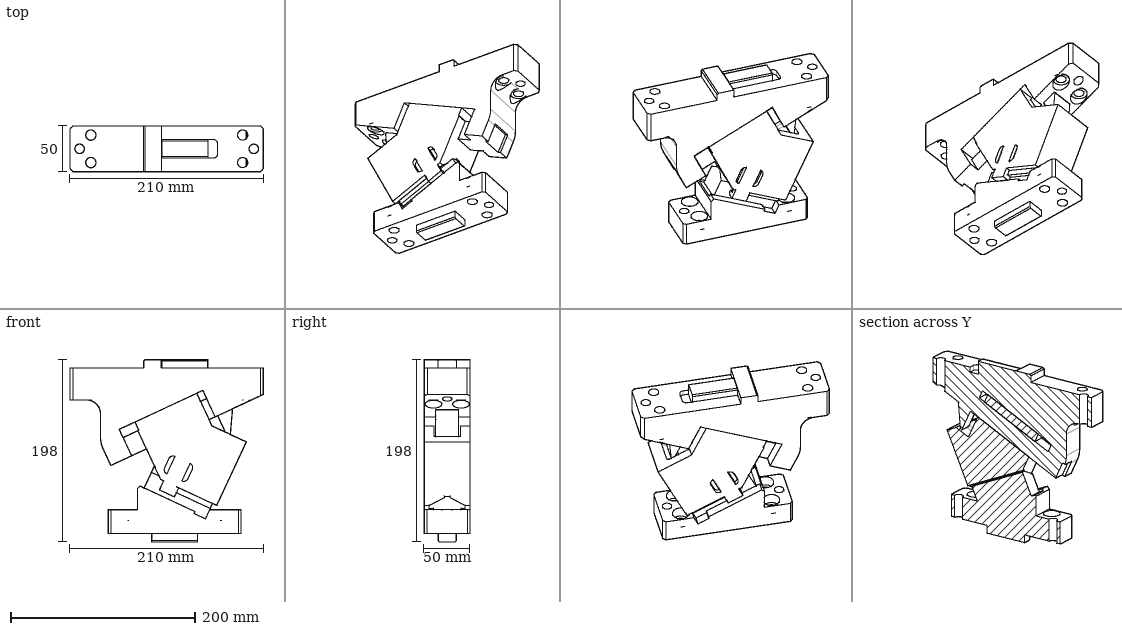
import cadquery as cq
import math


WIDTH = 50.0
HALF_WIDTH = WIDTH / 2
TILT = math.radians(25)
COS = math.cos(TILT)
SIN = math.sin(TILT)
TONGUE_WIDTH = 25.0
KEY_HEIGHT = 9.0
KEY_LENGTH = 50.0
KEY_WIDTH = 20.0
KEY_CHAMFER = 1.5
DOWEL_DIAMETER = 10.0
SCREW_DIAMETER = 11.0
SCREW_HEAD_DIAMETER = 18.0
SCREW_Y = 15.0

BASE_LEFT = -63.6
BASE_RIGHT = 80.6
BASE_CENTRE = (BASE_LEFT + BASE_RIGHT) / 2
BASE_HEIGHT = 26.0
BASE_CHAMFER = 3.0
BLOCK_LEFT = -32.0
BLOCK_CHAMFER = 3.0
BASE_DOWEL_OFFSET = 62.4
BASE_SCREW_OFFSET = 50.5
BASE_COUNTERBORE_DEPTH = 11.5

GUIDE_X = -24.5
GUIDE_Z = 49.8
RAIL_LENGTH = 74.5
RAIL_HALF_WIDTH = 15.0
RIDGE_HALF_WIDTH = 3.0
ROOF_ANGLE = math.radians(30)
RELIEF_START = 61.0
RELIEF_DEPTH = 2.3
LEDGE_START = 18.5
LEDGE_BOTTOM = 10.0
LEDGE_HALF_WIDTH = 19.5
SLIDE_UNDERSIDE = 16.0
RIDGE_HEIGHT = SLIDE_UNDERSIDE + (LEDGE_HALF_WIDTH - RIDGE_HALF_WIDTH) * math.tan(ROOF_ANGLE)
EAVE_HEIGHT = RIDGE_HEIGHT - (RAIL_HALF_WIDTH - RIDGE_HALF_WIDTH) * math.tan(ROOF_ANGLE)

HOLDER_LENGTH = 210.0
HOLDER_TOP = 180.0
FLANGE_THICKNESS = 34.9
FLANGE_BOTTOM = HOLDER_TOP - FLANGE_THICKNESS
HOLDER_CHAMFER = 3.4
NECK_LEFT = -72.0
NECK_FILLET = 15.0
JAW_BEND_RADIUS = 31.0
TAB_LEFT = -25.0
TAB_RIGHT = -5.7
TAB_CHAMFER = 1.5
KEY_LEFT = -5.2
SLOT_END = 55.2
SLOT_DEPTH = 5.9
SLOT_CORNER_RADIUS = 4.5
HOLDER_DOWEL_X = 94.5
HOLDER_SCREW_X = 82.3

JAW_X = -60.7
JAW_Z = 74.0
JAW_THICKNESS = 25.0
POCKET_LENGTH = 100.0
POCKET_DEPTH = 31.7
POCKET_END = JAW_THICKNESS + POCKET_LENGTH
BAR_HEIGHT = 22.0
NOTCH_DEPTH = 3.4
RIB_START = 127.9
RIB_END = 146.0
RIB_CHAMFER = 1.3
RIB_FLANK_ANGLE = math.radians(30)
RIB_DEPTH = 26.2

SLIDE_START = 43.7
SLIDE_END = 117.8
SLIDE_STEP = 1.0
SLIDE_NOSE = 79.5
SLIDE_SHOULDER = 92.2
STOP_POCKET_FLOOR = 28.4
STOP_POCKET_LENGTH = 42.0
STOP_POCKET_WIDTH = 29.0
STOP_POCKET_CORNER_RADIUS = 2.5
RIDGE_RELIEF_HALF_WIDTH = 3.2
RIDGE_RELIEF_DEPTH = 1.3
HOOK_START = 16.0
HOOK_LENGTH = 18.0
HOOK_BOTTOM = 5.0
HOOK_INNER = 20.2
HOOK_TIP = 15.3
HOOK_TIP_CHAMFER = 1.7
WINDOW_LENGTH = 28.0
WINDOW_HEIGHT = 21.0
WINDOW_CORNER_RADIUS = 5.0
WINDOW_CENTRE_V = 34.6


def holder_point(s, t):
    return (JAW_X + s * COS - t * SIN, JAW_Z + s * SIN + t * COS)


def guide_point(u, v):
    return (GUIDE_X + u * COS + v * SIN, GUIDE_Z - u * SIN + v * COS)


def crossing_point(s, v):
    """Point that lies at distance s in the holder frame and v in the guide frame."""
    along = s + JAW_X * COS + JAW_Z * SIN
    across = v + GUIDE_X * SIN + GUIDE_Z * COS
    determinant = COS ** 2 - SIN ** 2
    return ((along * COS - across * SIN) / determinant, (across * COS - along * SIN) / determinant)


def side_plane():
    return cq.Workplane("XZ")


def holder_plane():
    return cq.Workplane(cq.Plane((JAW_X, 0, JAW_Z), xDir=(COS, 0, SIN), normal=(0, -1, 0)))


def guide_plane():
    return cq.Workplane(cq.Plane((GUIDE_X, 0, GUIDE_Z), xDir=(COS, 0, -SIN), normal=(0, -1, 0)))


def rail_section(u):
    """Plane square to the rail at distance u: local x is Y, local y is v."""
    x, z = guide_point(u, 0)
    return cq.Workplane(cq.Plane((x, 0, z), xDir=(0, 1, 0), normal=(COS, 0, -SIN)))


def local_box(plane, left, right, bottom, top, width):
    """Box centred on Y = 0, given by its limits in a side plane."""
    sketch = plane.center((left + right) / 2, (bottom + top) / 2).rect(right - left, top - bottom)
    return sketch.extrude(width / 2, both=True)


def vertical_cylinders(points, diameter, bottom, top):
    circles = cq.Workplane("XY", origin=(0, 0, bottom)).pushPoints(points).circle(diameter / 2)
    return circles.extrude(top - bottom)


def chamfered_plan(left, right, chamfer, bottom, top):
    """Upright block over the full width with its four vertical corners cut off."""
    y_flat = HALF_WIDTH - chamfer
    points = [
        (left, -y_flat), (left + chamfer, -HALF_WIDTH), (right - chamfer, -HALF_WIDTH), (right, -y_flat),
        (right, y_flat), (right - chamfer, HALF_WIDTH), (left + chamfer, HALF_WIDTH), (left, y_flat),
    ]
    return cq.Workplane("XY", origin=(0, 0, bottom)).polyline(points).close().extrude(top - bottom)


def key(left, bottom, chamfered_face):
    block = cq.Workplane("XY").box(KEY_LENGTH, KEY_WIDTH, KEY_HEIGHT, centered=(False, True, False))
    block = block.faces(chamfered_face).edges("|X").chamfer(KEY_CHAMFER)
    return block.translate((left, 0, bottom))


def mirrored_points(x_offset, y_offset, x_centre=0.0):
    return [(x_centre + i * x_offset, j * y_offset) for i in (-1, 1) for j in (-1, 1)]


def rail():
    house = [
        (-RAIL_HALF_WIDTH, -RELIEF_DEPTH), (-RAIL_HALF_WIDTH, EAVE_HEIGHT),
        (-RIDGE_HALF_WIDTH, RIDGE_HEIGHT), (RIDGE_HALF_WIDTH, RIDGE_HEIGHT),
        (RAIL_HALF_WIDTH, EAVE_HEIGHT), (RAIL_HALF_WIDTH, -RELIEF_DEPTH),
    ]
    ledge = [
        (-LEDGE_HALF_WIDTH, LEDGE_BOTTOM), (-LEDGE_HALF_WIDTH, SLIDE_UNDERSIDE),
        (-RIDGE_HALF_WIDTH, RIDGE_HEIGHT), (RIDGE_HALF_WIDTH, RIDGE_HEIGHT),
        (LEDGE_HALF_WIDTH, SLIDE_UNDERSIDE), (LEDGE_HALF_WIDTH, LEDGE_BOTTOM),
    ]
    body = rail_section(0).polyline(house).close().extrude(RAIL_LENGTH)
    ledges = rail_section(LEDGE_START).polyline(ledge).close().extrude(RAIL_LENGTH - LEDGE_START)
    return body.union(ledges)


def base():
    end_x, end_z = guide_point(RAIL_LENGTH, -RELIEF_DEPTH)
    wall_top_x = end_x + (BASE_HEIGHT - end_z) * math.tan(TILT)
    chamfer_x = BLOCK_LEFT + BLOCK_CHAMFER
    chamfer_z = GUIDE_Z - (chamfer_x - GUIDE_X) * math.tan(TILT)
    outline = [
        (BASE_LEFT, 0), (BASE_RIGHT, 0), (BASE_RIGHT, BASE_HEIGHT), (wall_top_x, BASE_HEIGHT), (end_x, end_z),
        guide_point(RELIEF_START, -RELIEF_DEPTH), guide_point(RELIEF_START, 0), (chamfer_x, chamfer_z),
        (BLOCK_LEFT, chamfer_z - BLOCK_CHAMFER), (BLOCK_LEFT, BASE_HEIGHT), (BASE_LEFT, BASE_HEIGHT),
    ]
    body = side_plane().polyline(outline).close().extrude(HALF_WIDTH, both=True)
    body = body.intersect(chamfered_plan(BASE_LEFT, BASE_RIGHT, BASE_CHAMFER, 0, HOLDER_TOP))
    rail_width = 2 * RAIL_HALF_WIDTH
    channel = local_box(guide_plane(), -RAIL_LENGTH, RAIL_LENGTH, -RELIEF_DEPTH, EAVE_HEIGHT, rail_width)
    body = body.cut(channel).union(rail())
    dowels = [(BASE_CENTRE + i * BASE_DOWEL_OFFSET, 0) for i in (-1, 1)]
    screws = mirrored_points(BASE_SCREW_OFFSET, SCREW_Y, BASE_CENTRE)
    seat = BASE_HEIGHT - BASE_COUNTERBORE_DEPTH
    body = body.cut(vertical_cylinders(dowels, DOWEL_DIAMETER, 0, BASE_HEIGHT))
    body = body.cut(vertical_cylinders(screws, SCREW_DIAMETER, 0, BASE_HEIGHT))
    body = body.cut(vertical_cylinders(screws, SCREW_HEAD_DIAMETER, seat, BASE_HEIGHT))
    return body.union(key(BASE_CENTRE - KEY_LENGTH / 2, -KEY_HEIGHT, "<Z"))


def holder_profile():
    half = HOLDER_LENGTH / 2
    slope_end_z = JAW_Z + (half - JAW_X) * math.tan(TILT)
    corner_z = JAW_Z + (JAW_X - NECK_LEFT) / math.tan(TILT)
    tangent = JAW_BEND_RADIUS * math.tan(TILT / 2)
    bend_start = (NECK_LEFT, corner_z + tangent)
    bend_end = (NECK_LEFT + tangent * SIN, corner_z - tangent * COS)
    return (
        side_plane()
        .moveTo(-half, HOLDER_TOP)
        .lineTo(-half, FLANGE_BOTTOM)
        .lineTo(NECK_LEFT - NECK_FILLET, FLANGE_BOTTOM)
        .radiusArc((NECK_LEFT, FLANGE_BOTTOM - NECK_FILLET), NECK_FILLET)
        .lineTo(*bend_start)
        .radiusArc(bend_end, -JAW_BEND_RADIUS)
        .lineTo(JAW_X, JAW_Z)
        .lineTo(half, slope_end_z)
        .lineTo(half, HOLDER_TOP)
        .close()
        .extrude(HALF_WIDTH, both=True)
    )


def bar():
    return local_box(holder_plane(), JAW_THICKNESS, POCKET_END, 0, BAR_HEIGHT, TONGUE_WIDTH)


def rib():
    """Tapered stop below the sloping face, which dips into the slide pocket."""
    flank_run = math.tan(RIB_FLANK_ANGLE)
    outline = [
        (RIB_START, 0), (RIB_END - RIB_CHAMFER, 0), (RIB_END - RIB_CHAMFER * flank_run, -RIB_CHAMFER),
        (RIB_END - RIB_DEPTH * flank_run, -RIB_DEPTH), (RIB_START, -RIB_DEPTH),
    ]
    return holder_plane().polyline(outline).close().extrude(TONGUE_WIDTH / 2, both=True)


def tab():
    block = cq.Workplane("XY").box(TAB_RIGHT - TAB_LEFT, WIDTH, KEY_HEIGHT, centered=(False, True, False))
    block = block.edges("<X and >Z").chamfer(TAB_CHAMFER)
    return block.translate((TAB_LEFT, 0, HOLDER_TOP))


def key_slot():
    length = SLOT_END - TAB_RIGHT
    slot = cq.Workplane("XY").box(length, KEY_WIDTH, SLOT_DEPTH, centered=(False, True, False))
    slot = slot.edges("|Z and >X").fillet(SLOT_CORNER_RADIUS)
    return slot.translate((TAB_RIGHT, 0, HOLDER_TOP - SLOT_DEPTH))


def holder():
    half = HOLDER_LENGTH / 2
    body = holder_profile()
    body = body.intersect(chamfered_plan(-half, half, HOLDER_CHAMFER, 0, HOLDER_TOP))
    pocket = local_box(holder_plane(), JAW_THICKNESS, POCKET_END, -POCKET_DEPTH, POCKET_DEPTH, WIDTH)
    jaw_notch = local_box(holder_plane(), -NOTCH_DEPTH, NOTCH_DEPTH, 0, BAR_HEIGHT, TONGUE_WIDTH)
    body = body.cut(pocket).cut(jaw_notch).union(bar()).union(rib())
    dowels = [(i * HOLDER_DOWEL_X, 0) for i in (-1, 1)]
    screws = mirrored_points(HOLDER_SCREW_X, SCREW_Y)
    body = body.cut(vertical_cylinders(dowels, DOWEL_DIAMETER, 0, HOLDER_TOP))
    body = body.cut(vertical_cylinders(screws, SCREW_DIAMETER, 0, HOLDER_TOP))
    body = body.cut(vertical_cylinders(screws, SCREW_HEAD_DIAMETER, 0, FLANGE_BOTTOM))
    body = body.cut(key_slot())
    body = body.union(tab())
    foot = cq.Workplane("XY").box(KEY_LENGTH, KEY_WIDTH, SLOT_DEPTH, centered=(False, True, False))
    body = body.union(foot.translate((KEY_LEFT, 0, HOLDER_TOP - SLOT_DEPTH)))
    return body.union(key(KEY_LEFT, HOLDER_TOP, ">Z"))


def slide_profile():
    outline = [
        holder_point(SLIDE_START, POCKET_DEPTH), holder_point(SLIDE_END, POCKET_DEPTH),
        crossing_point(SLIDE_END, SLIDE_SHOULDER), guide_point(SLIDE_NOSE, SLIDE_SHOULDER),
        guide_point(SLIDE_NOSE, SLIDE_UNDERSIDE), crossing_point(SLIDE_START - SLIDE_STEP, SLIDE_UNDERSIDE),
        holder_point(SLIDE_START - SLIDE_STEP, BAR_HEIGHT), holder_point(SLIDE_START, BAR_HEIGHT),
    ]
    return side_plane().polyline(outline).close().extrude(HALF_WIDTH, both=True)


def rail_groove():
    section = [
        (-LEDGE_HALF_WIDTH, SLIDE_UNDERSIDE), (-RIDGE_HALF_WIDTH, RIDGE_HEIGHT),
        (RIDGE_HALF_WIDTH, RIDGE_HEIGHT), (LEDGE_HALF_WIDTH, SLIDE_UNDERSIDE),
    ]
    groove = rail_section(-SLIDE_NOSE).polyline(section).close().extrude(2 * SLIDE_NOSE)
    relief_top = RIDGE_HEIGHT + RIDGE_RELIEF_DEPTH
    relief = local_box(
        guide_plane(), -SLIDE_NOSE, SLIDE_NOSE, SLIDE_UNDERSIDE, relief_top, 2 * RIDGE_RELIEF_HALF_WIDTH
    )
    return groove.union(relief)


def hook(side):
    """Leg of the slide that reaches down beside the rail and under its ledge."""
    leg_top = WINDOW_CENTRE_V
    section = [
        (side * HALF_WIDTH, HOOK_BOTTOM), (side * HALF_WIDTH, leg_top), (side * HOOK_INNER, leg_top),
        (side * HOOK_INNER, LEDGE_BOTTOM), (side * HOOK_TIP, LEDGE_BOTTOM),
        (side * HOOK_TIP, HOOK_BOTTOM + HOOK_TIP_CHAMFER),
        (side * (HOOK_TIP + HOOK_TIP_CHAMFER), HOOK_BOTTOM),
    ]
    return rail_section(HOOK_START).polyline(section).close().extrude(HOOK_LENGTH)


def window(side):
    """Rounded recess in one flat side, open on both sides of the hook leg."""
    centre_u = HOOK_START + HOOK_LENGTH / 2
    depth = HALF_WIDTH - HOOK_INNER
    recess = guide_plane().center(centre_u, WINDOW_CENTRE_V).rect(WINDOW_LENGTH, WINDOW_HEIGHT)
    recess = recess.extrude(depth).edges("|Y").fillet(WINDOW_CORNER_RADIUS)
    leg = guide_plane().center(centre_u, WINDOW_CENTRE_V).rect(HOOK_LENGTH, WINDOW_HEIGHT).extrude(depth)
    y_shift = -HOOK_INNER if side < 0 else HALF_WIDTH
    return recess.cut(leg).translate((0, y_shift, 0))


def stop_pocket():
    """Recess in the shoulder, parallel to the slide axis, where the holder rib travels."""
    end = SLIDE_END + STOP_POCKET_LENGTH
    pocket = local_box(holder_plane(), SLIDE_END, end, -STOP_POCKET_FLOOR, 0, STOP_POCKET_WIDTH)
    slide_axis = cq.Vector(COS, 0, SIN)
    floor_edges = cq.selectors.ParallelDirSelector(slide_axis)
    floor_face = cq.selectors.DirectionMinMaxSelector(cq.Vector(-SIN, 0, COS), False)
    return pocket.faces(floor_face).edges(floor_edges).fillet(STOP_POCKET_CORNER_RADIUS)


def slide():
    body = slide_profile().cut(bar()).cut(stop_pocket()).cut(rail_groove())
    for side in (-1, 1):
        body = body.cut(window(side))
        body = body.union(hook(side))
    return body


result = cq.Compound.makeCompound([base().val(), holder().val(), slide().val()])